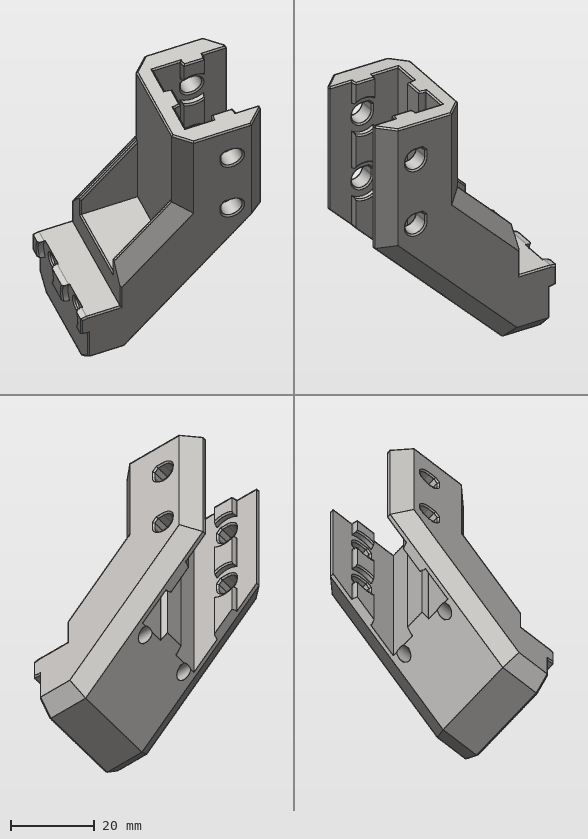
import cadquery as cq
import math

width = 30.0
height = 69.45
back_y = 46.3
wall = 4.0
small_chamfer = 0.4

column_depth = 23.0
column_front_y = back_y - column_depth
back_bend_z = 35.4
front_bend_z = 45.5
step_y = 8.4
ledge_z = 18.35

channel_width = 20.0
channel_floor_y = column_front_y + wall
channel_axis_y = channel_floor_y + channel_width / 2

tongue_root = 6.0
tongue_taper = 0.35
tongue_land = 0.3
tongue_height = 1.8
side_tongue_height = 1.5

pocket_floor_z = 25.4

foot_hole_diameter = 3.4
foot_hole_chamfer = 0.4
foot_hole_x = 7.5
foot_hole_z = ledge_z - tongue_root / 2
clearance_radius = 4.9

cross_hole_diameter = 5.5
cross_hole_chamfer = 0.4
cross_hole_z = (41.5, 59.45)
teardrop_reach = 1.15

half_width = width / 2
half_channel = channel_width / 2
tol = 0.035


def bent_arm():
    """Arm with the foot tongue across its full width and chamfered outer edges."""
    tongue_bottom_z = ledge_z - tongue_root
    profile = [
        (back_y, height),
        (back_y, back_bend_z),
        (back_y - back_bend_z, 0),
        (0, 0),
        (0, tongue_bottom_z),
        (-tongue_land, tongue_bottom_z),
        (-tongue_height, tongue_bottom_z + tongue_taper),
        (-tongue_height, ledge_z - tongue_taper),
        (-tongue_land, ledge_z),
        (step_y, ledge_z),
        (step_y, front_bend_z - (column_front_y - step_y)),
        (column_front_y, front_bend_z),
        (column_front_y, height),
    ]
    arm = cq.Workplane("YZ").polyline(profile).close().extrude(half_width, both=True)

    def on_large_chamfer(edge):
        c = edge.Center()
        if abs(abs(c.x) - half_width) > tol:
            return False
        on_back = c.y - c.z > back_y - back_bend_z - tol or c.y > back_y - tol
        on_bottom = c.z < tol
        on_front = c.z > front_bend_z and c.y < column_front_y + tol
        on_slope = step_y + tol < c.y < column_front_y - tol and c.z > ledge_z + tol
        return c.z < height - tol and (on_back or on_bottom or on_front or on_slope)

    arm = arm.newObject([e for e in arm.edges().vals() if on_large_chamfer(e)]).chamfer(wall)

    def on_front_outline(edge):
        c = edge.Center()
        on_side = abs(abs(c.x) - half_width) < tol and c.y < step_y + tol and c.z > wall + tol
        on_foot_rim = abs(c.y) < tol and c.z < wall
        return on_side or on_foot_rim

    return arm.newObject([e for e in arm.edges().vals() if on_front_outline(e)]).chamfer(small_chamfer)


def tongue(tip_height):
    """Tapered tongue pointing along +Y from y = 0, running the full height along Z."""
    half_root = tongue_root / 2
    half_tip = half_root - tongue_taper
    outline = [(-half_root, 0), (-half_root, tongue_land), (-half_tip, tip_height),
               (half_tip, tip_height), (half_root, tongue_land), (half_root, 0)]
    return cq.Workplane("XY").polyline(outline).close().extrude(height)


def screw_relief(tip_height):
    """Round gap cut around a screw in a tongue pointing along -Y, chamfered at the tongue tip."""
    half_section = [
        (0, 0),
        (clearance_radius, 0),
        (clearance_radius, small_chamfer - tip_height),
        (clearance_radius + small_chamfer, -tip_height),
        (0, -tip_height),
    ]
    return cq.Workplane("XY").polyline(half_section).close().revolve(360, (0, 0, 0), (0, 1, 0))


def rail_channel():
    """Space taken by the rail: a square channel, open at the back, around three tongues."""
    channel = cq.Workplane("XY").box(
        channel_width, back_y - channel_floor_y, height, centered=(True, False, False)
    ).translate((0, channel_floor_y, 0))
    channel = channel.cut(tongue(tongue_height).translate((0, channel_floor_y, 0)))
    side_tongue = tongue(side_tongue_height).rotate((0, 0, 0), (0, 0, 1), -90)
    side_tongue = side_tongue.translate((-half_channel, channel_axis_y, 0))
    channel = channel.cut(side_tongue).cut(side_tongue.mirror("YZ"))
    relief = screw_relief(side_tongue_height).rotate((0, 0, 0), (0, 0, 1), 90)
    for z in cross_hole_z:
        side_relief = relief.translate((-half_channel, channel_axis_y, z))
        channel = channel.union(side_relief).union(side_relief.mirror("YZ"))
    return channel


def front_pocket():
    """Pocket between the column and the step, open to the front."""
    depth = column_front_y - step_y
    pocket = cq.Workplane("XY").box(channel_width, depth, height - pocket_floor_z, centered=(True, False, False))
    return pocket.translate((0, step_y, pocket_floor_z))


def on_pocket_rim(edge):
    """True for the pocket edges on the step and on the front slope."""
    c = edge.Center()
    on_wall = abs(abs(c.x) - half_channel) < tol and step_y - tol < c.y < column_front_y - tol
    on_outer_face = abs(c.y - step_y) < tol or c.z - c.y > front_bend_z - column_front_y - tol
    on_floor = abs(c.z - pocket_floor_z) < tol and abs(c.y - step_y) < tol
    return on_floor or (on_wall and on_outer_face and c.z > pocket_floor_z + tol)


def foot_holes():
    """Chamfered screw holes through the foot and the flared reliefs in the foot tongue."""
    radius = foot_hole_diameter / 2
    hole_section = [
        (0, 0),
        (radius + foot_hole_chamfer, 0),
        (radius, foot_hole_chamfer),
        (radius, back_y),
        (0, back_y),
    ]
    hole = cq.Workplane("XY").polyline(hole_section).close().revolve(360, (0, 0, 0), (0, 1, 0))
    cutter = hole.union(screw_relief(tongue_height)).translate((foot_hole_x, 0, foot_hole_z))
    return cutter.union(cutter.mirror("YZ"))


def teardrop(radius):
    """Teardrop outline: a circle with two square tangents whose corner is clipped at 45 degrees."""
    clip = math.sqrt(2) * teardrop_reach * radius - radius
    diagonal = radius * math.sqrt(0.5)
    return (
        cq.Sketch()
        .segment((0, radius), (clip, radius))
        .segment((radius, clip))
        .segment((radius, 0))
        .arc((radius, 0), (-diagonal, -diagonal), (0, radius))
        .assemble()
    )


def cross_hole_plane():
    """Middle plane normal to X, local x toward -Y, local y up, with its origin on the hole axis."""
    return cq.Workplane(cq.Plane(origin=(0, channel_axis_y, 0), xDir=(0, -1, 0), normal=(-1, 0, 0)))


def cross_hole_mouth(face_x, into_wall):
    """Chamfer of a teardrop hole, widest at distance face_x from the middle of the part."""
    radius = cross_hole_diameter / 2
    inner = cq.Location(cq.Vector(0, 0, face_x + into_wall * cross_hole_chamfer))
    outer = cq.Location(cq.Vector(0, 0, face_x))
    return cross_hole_plane().placeSketch(
        teardrop(radius).moved(inner),
        teardrop(radius + cross_hole_chamfer).moved(outer),
    ).loft()


def cross_holes():
    """Teardrop holes through both side walls, chamfered on both faces of each wall."""
    shank = cross_hole_plane().placeSketch(teardrop(cross_hole_diameter / 2)).extrude(half_width, both=True)
    mouths = cross_hole_mouth(half_width, -1).union(cross_hole_mouth(half_channel, 1))
    hole = shank.union(mouths).union(mouths.mirror("YZ"))
    lower_z, upper_z = cross_hole_z
    return hole.translate((0, 0, lower_z)).union(hole.translate((0, 0, upper_z)))


body = bent_arm().cut(rail_channel())
body = body.faces(">Z").edges().chamfer(small_chamfer)
body = body.cut(front_pocket())
body = body.newObject([e for e in body.edges().vals() if on_pocket_rim(e)]).chamfer(small_chamfer)
result = body.cut(foot_holes()).cut(cross_holes())